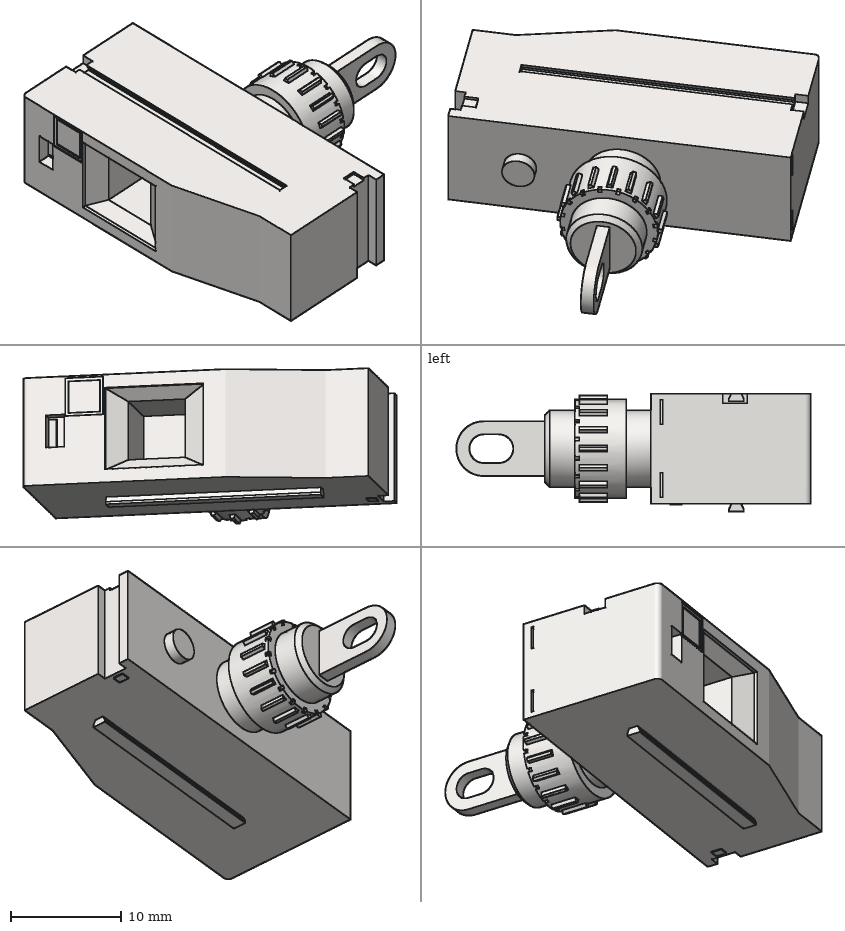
import cadquery as cq
import math

HOUSING_LENGTH = 31.6
HOUSING_DEPTH = 14.5
HOUSING_HEIGHT = 10.0
TOTAL_DEPTH = 32.15
MID_HEIGHT = HOUSING_HEIGHT / 2

TAPER_START = 18.85
TAPER_END = 27.62
TAPER_SETBACK = 2.3
CORNER_RADIUS = 0.5

DOVETAIL_Y = 6.75
DOVETAIL_NECK = 0.9
DOVETAIL_WIDTH = 1.35
DOVETAIL_HEIGHT = 0.7
DOVETAIL_SLOPE_HEIGHT = 0.48
RAIL_START = 6.43
DOVETAIL_END = 26.35
ENTRY_LENGTH = 1.2
ENTRY_WIDTH = 2.22
ENTRY_HEIGHT = 0.9
ENTRY_Y = 6.88

END_SLOT_Y = 13.45
END_SLOT_WIDTH = 0.23
END_SLOT_LENGTH = 2.22
END_SLOT_MARGIN = 0.58

LATCH_Y = 12.22
NOTCH_WIDTH = 2.48
NOTCH_LENGTH = 0.95
LATCH_POCKET_LENGTH = 1.3
LATCH_POCKET_WIDTH = 1.3
LATCH_POCKET_DEPTH = 0.25
LATCH_BUMP_X = 29.85
LATCH_BUMP_LENGTH = 0.87
LATCH_BUMP_WIDTH = 1.05
LATCH_BUMP_HEIGHT = 0.1

WINDOW_X = 12.22
WINDOW_LENGTH = 9.13
WINDOW_HEIGHT = 7.55
LIP_DEPTH = 0.32
SHAFT_X = 12.15
SHAFT_LENGTH = 5.27
SHAFT_HEIGHT = 5.4
FUNNEL_END = 1.45
SHAFT_END = 8.05

LABEL_SIZE = 3.5
LABEL_X = 5.72
LABEL_Z = 8.07
LABEL_BORDER = 0.3
LABEL_BORDER_DEPTH = 0.1
LABEL_DEPTH = 0.2
SLOT_LEFT = 2.2
SLOT_RIGHT = 3.9
SLOT_BOTTOM = 3.47
SLOT_TOP = 6.45
SLOT_DEPTH = 1.2
WEDGE_START = 2.35
WEDGE_DEEPEST = 2.9
WEDGE_END = 3.0
WEDGE_DEPTH = 0.1
WEDGE_MARGIN = 0.2

TERMINAL_X = 15.5
STEM_DIAMETER = 7.0
STEM_END = 24.15
STEM_CHAMFER = 0.48
COLLAR_DIAMETER = 9.0
COLLAR_START = 16.72
COLLAR_END = 21.38
GRIP_COUNT = 16
RIB_DIAMETER = 9.68
RIB_BASE = 0.58
RIB_CREST = 0.3
RIB_START = 18.45
RIB_END = 21.0
COLLAR_NOTCH_WIDTH = 0.32
COLLAR_NOTCH_DEPTH = 0.32

TAB_THICKNESS = 1.2
TAB_WIDTH = 4.98
TAB_SLOT_WIDTH = 2.57
TAB_SLOT_LENGTH = 3.95

PIN_X = 24.95
PIN_DIAMETER = 3.0
PIN_LENGTH = 1.03


def block(x_range, y_range, z_range):
    """Box spanning the given (low, high) range on each axis."""
    sizes = [high - low for low, high in (x_range, y_range, z_range)]
    corner = (x_range[0], y_range[0], z_range[0])
    return cq.Workplane("XY").box(*sizes, centered=False).translate(corner)


def around(middle, size):
    """Range of the given size centred on a coordinate."""
    return (middle - size / 2, middle + size / 2)


def facing_back(x, y, z):
    """Workplane whose normal is +Y, with local x along +X and local y along -Z."""
    return cq.Workplane(cq.Plane(origin=(x, y, z), xDir=(1, 0, 0), normal=(0, 1, 0)))


def housing():
    outline = [
        (0, 0),
        (TAPER_START, 0),
        (TAPER_END, TAPER_SETBACK),
        (HOUSING_LENGTH, TAPER_SETBACK),
        (HOUSING_LENGTH, HOUSING_DEPTH),
        (0, HOUSING_DEPTH),
    ]
    body = cq.Workplane("XY").polyline(outline).close().extrude(HOUSING_HEIGHT)
    return body.edges("|Z and <X and <Y").fillet(CORNER_RADIUS)


def dovetail(x_start, z_top):
    """Dovetail bar hanging from z_top: upright lower sides slope inward to the neck."""
    return (
        cq.Workplane("YZ", origin=(x_start, DOVETAIL_Y, z_top))
        .moveTo(0, -DOVETAIL_HEIGHT)
        .hLineTo(DOVETAIL_WIDTH / 2)
        .vLineTo(-DOVETAIL_SLOPE_HEIGHT)
        .lineTo(DOVETAIL_NECK / 2, 0)
        .hLineTo(0)
        .mirrorY()
        .extrude(DOVETAIL_END - x_start)
    )


def groove_entry():
    z_range = (HOUSING_HEIGHT - ENTRY_HEIGHT, HOUSING_HEIGHT)
    return block((0, ENTRY_LENGTH), around(ENTRY_Y, ENTRY_WIDTH), z_range)


def end_slots():
    offset = MID_HEIGHT - END_SLOT_MARGIN - END_SLOT_LENGTH / 2
    y_range = (END_SLOT_Y, END_SLOT_Y + END_SLOT_WIDTH)
    lower = block((0, ENTRY_LENGTH), y_range, around(MID_HEIGHT - offset, END_SLOT_LENGTH))
    return lower.union(lower.translate((0, 0, 2 * offset)))


def latch_notch():
    notch_start = HOUSING_LENGTH - NOTCH_LENGTH
    notch = block((notch_start, HOUSING_LENGTH), around(LATCH_Y, NOTCH_WIDTH), (0, HOUSING_HEIGHT))
    pocket = block(
        (notch_start - LATCH_POCKET_LENGTH, notch_start),
        around(LATCH_Y, LATCH_POCKET_WIDTH),
        (HOUSING_HEIGHT - LATCH_POCKET_DEPTH, HOUSING_HEIGHT),
    )
    return notch.union(pocket)


def latch_bump():
    return block(
        around(LATCH_BUMP_X, LATCH_BUMP_LENGTH),
        around(LATCH_Y, LATCH_BUMP_WIDTH),
        (-LATCH_BUMP_HEIGHT, 0),
    )


def window():
    z_range = around(MID_HEIGHT, WINDOW_HEIGHT)
    lip = block(around(WINDOW_X, WINDOW_LENGTH), (0, LIP_DEPTH), z_range)
    funnel = (
        facing_back(WINDOW_X, LIP_DEPTH, MID_HEIGHT)
        .rect(WINDOW_LENGTH, WINDOW_HEIGHT)
        .workplane(offset=FUNNEL_END - LIP_DEPTH)
        .center(SHAFT_X - WINDOW_X, 0)
        .rect(SHAFT_LENGTH, SHAFT_HEIGHT)
        .loft(ruled=True)
    )
    shaft = block(
        around(SHAFT_X, SHAFT_LENGTH),
        (FUNNEL_END, SHAFT_END),
        around(MID_HEIGHT, SHAFT_HEIGHT),
    )
    return lip.union(funnel).union(shaft)


def label_recess():
    """Square recess that steps down once inside a narrow border."""
    inner_size = LABEL_SIZE - 2 * LABEL_BORDER
    border = block(around(LABEL_X, LABEL_SIZE), (0, LABEL_BORDER_DEPTH), around(LABEL_Z, LABEL_SIZE))
    inner = block(around(LABEL_X, inner_size), (0, LABEL_DEPTH), around(LABEL_Z, inner_size))
    return border.union(inner)


def front_slot():
    """Rectangular slot with a wedge-shaped hollow in its floor."""
    slot = block((SLOT_LEFT, SLOT_RIGHT), (0, SLOT_DEPTH), (SLOT_BOTTOM, SLOT_TOP))
    wedge_profile = [
        (WEDGE_START, SLOT_DEPTH),
        (WEDGE_END, SLOT_DEPTH),
        (WEDGE_DEEPEST, SLOT_DEPTH + WEDGE_DEPTH),
    ]
    wedge = (
        cq.Workplane("XY", origin=(0, 0, SLOT_BOTTOM + WEDGE_MARGIN))
        .polyline(wedge_profile)
        .close()
        .extrude(SLOT_TOP - SLOT_BOTTOM - 2 * WEDGE_MARGIN)
    )
    return slot.union(wedge)


def cylinder(x, y_start, y_end, diameter):
    return facing_back(x, y_start, MID_HEIGHT).circle(diameter / 2).extrude(y_end - y_start)


def about_terminal(shape, angle):
    """Turn a shape about the terminal axis."""
    axis_start = (TERMINAL_X, 0, MID_HEIGHT)
    axis_end = (TERMINAL_X, 1, MID_HEIGHT)
    return shape.rotate(axis_start, axis_end, angle)


def grip_rib():
    """Trapezoidal rib whose foot corners lie on the collar surface."""
    half_base = RIB_BASE / 2
    half_crest = RIB_CREST / 2
    foot = math.sqrt((COLLAR_DIAMETER / 2) ** 2 - half_base ** 2)
    crest = RIB_DIAMETER / 2
    profile = [(-half_base, foot), (half_base, foot), (half_crest, crest), (-half_crest, crest)]
    plane = facing_back(TERMINAL_X, RIB_START, MID_HEIGHT)
    return plane.polyline(profile).close().extrude(RIB_END - RIB_START)


def collar_notch():
    collar_top = MID_HEIGHT + COLLAR_DIAMETER / 2
    return block(
        around(TERMINAL_X, COLLAR_NOTCH_WIDTH),
        (RIB_END, COLLAR_END),
        (collar_top - COLLAR_NOTCH_DEPTH, collar_top),
    )


def collar():
    """Ring with ribs and, midway between them, notches in its end."""
    ring = cylinder(TERMINAL_X, COLLAR_START, COLLAR_END, COLLAR_DIAMETER)
    pitch = 360 / GRIP_COUNT
    for index in range(GRIP_COUNT):
        ring = ring.union(about_terminal(grip_rib(), index * pitch))
        ring = ring.cut(about_terminal(collar_notch(), (index + 0.5) * pitch))
    return ring


def tab():
    end_radius = TAB_WIDTH / 2
    end_center = TOTAL_DEPTH - end_radius
    slot_center = end_center - (TAB_SLOT_LENGTH - TAB_SLOT_WIDTH) / 2
    x_range = around(TERMINAL_X, TAB_THICKNESS)
    strip = block(x_range, (STEM_END, end_center), around(MID_HEIGHT, TAB_WIDTH))
    side = cq.Workplane("YZ", origin=(x_range[0], 0, MID_HEIGHT))
    round_end = side.center(end_center, 0).circle(end_radius).extrude(TAB_THICKNESS)
    hole = side.center(slot_center, 0).slot2D(TAB_SLOT_LENGTH, TAB_SLOT_WIDTH).extrude(TAB_THICKNESS)
    return strip.union(round_end).cut(hole)


def terminal():
    stem = cylinder(TERMINAL_X, HOUSING_DEPTH, STEM_END, STEM_DIAMETER)
    stem = stem.faces(">Y").chamfer(STEM_CHAMFER)
    return stem.union(collar()).union(tab())


def pin():
    return cylinder(PIN_X, HOUSING_DEPTH, HOUSING_DEPTH + PIN_LENGTH, PIN_DIAMETER)


result = (
    housing()
    .cut(dovetail(ENTRY_LENGTH, HOUSING_HEIGHT))
    .cut(groove_entry())
    .cut(end_slots())
    .cut(latch_notch())
    .cut(window())
    .cut(label_recess())
    .cut(front_slot())
    .union(dovetail(RAIL_START, 0))
    .union(latch_bump())
    .union(terminal())
    .union(pin())
)